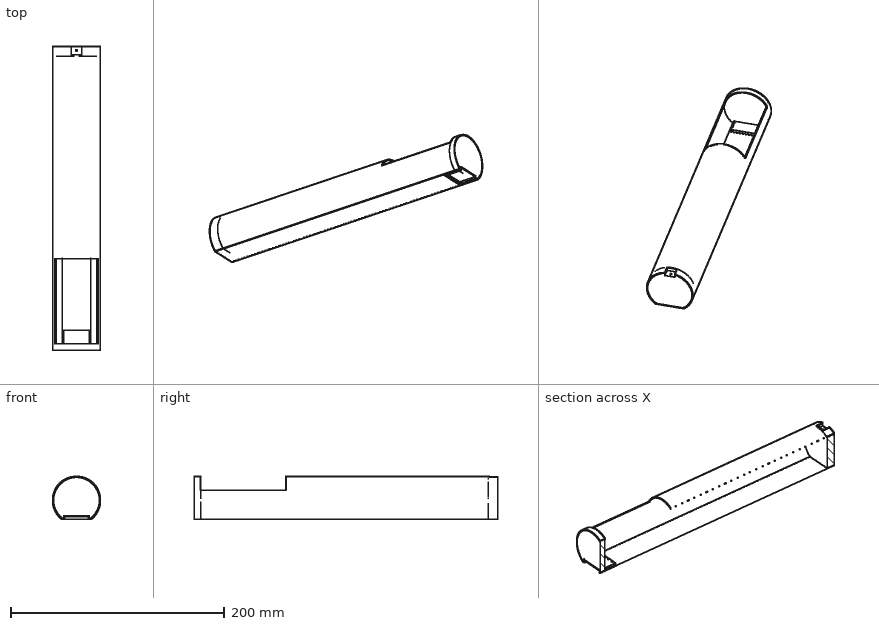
import cadquery as cq
import math

length = 285.0
outer_radius = 22.5
base_depth = 18.0
wall = 1.0

front_y = -length / 2
back_y = length / 2
base_z = -base_depth
bore_radius = outer_radius - wall
bore_depth = base_depth - wall

front_cap_thickness = 6.3
window_length = 79.8
window_sill_z = 9.7

socket_width = 24.0
socket_length = 19.0
socket_height = 3.5

pocket_width = 9.7
pocket_length = 8.0
pocket_floor_z = 18.2
back_cap_thickness = pocket_length + wall
pin_diameter = 1.5
pin_length = 3.0
pin_inset = 3.7


def flat_bottomed_bar(radius, flat_depth, start_y, bar_length):
    """Bar along +Y: a circle cut off by a flat below its axis."""
    half_flat = math.sqrt(radius**2 - flat_depth**2)
    return (
        cq.Workplane("XZ", origin=(0, start_y, 0))
        .moveTo(-half_flat, -flat_depth)
        .threePointArc((0, radius), (half_flat, -flat_depth))
        .close()
        .extrude(-bar_length)
    )


def block(width, depth, height, start_y, bottom_z):
    """Box centred in X that starts at start_y and stands on bottom_z."""
    return (
        cq.Workplane("XY", origin=(0, start_y, bottom_z))
        .box(width, depth, height, centered=(True, False, False))
    )


def socket_envelope():
    return block(socket_width, socket_length, socket_height, front_y, base_z)


def latch_pocket():
    pocket_height = outer_radius - pocket_floor_z
    return block(pocket_width, pocket_length, pocket_height, back_y - pocket_length, pocket_floor_z)


def make_housing():
    """Thin tube with the window, the socket opening and the latch pocket."""
    tube = flat_bottomed_bar(outer_radius, base_depth, front_y, length)
    bore = flat_bottomed_bar(bore_radius, bore_depth, front_y, length)
    window = block(
        2 * outer_radius, window_length, outer_radius - window_sill_z,
        front_y + front_cap_thickness, window_sill_z,
    )
    return tube.cut(bore).cut(window).cut(socket_envelope()).cut(latch_pocket())


def make_front_cap():
    """Plug in the front of the bore, notched to fit over the socket."""
    plug = flat_bottomed_bar(bore_radius, bore_depth, front_y, front_cap_thickness)
    return plug.cut(socket_envelope())


def make_socket():
    """Shell that is open at the front and underneath."""
    recess = block(
        socket_width - 2 * wall, socket_length - wall, socket_height - wall,
        front_y, base_z,
    )
    return socket_envelope().cut(recess)


def make_pin():
    """Pin standing in the back cap, flush with the pocket floor."""
    return (
        cq.Workplane("XY", origin=(0, back_y - pin_inset, pocket_floor_z))
        .circle(pin_diameter / 2)
        .extrude(-pin_length)
    )


def make_back_cap():
    """Plug in the back of the bore, holding the pocket floor and the pin."""
    plug = flat_bottomed_bar(bore_radius, bore_depth, back_y - back_cap_thickness, back_cap_thickness)
    return plug.cut(latch_pocket()).cut(make_pin())


housing = make_housing()
front_cap = make_front_cap()
socket = make_socket()
back_cap = make_back_cap()
pin = make_pin()

result = cq.Compound.makeCompound([
    housing.val(),
    front_cap.val(),
    socket.val(),
    back_cap.val(),
    pin.val(),
])